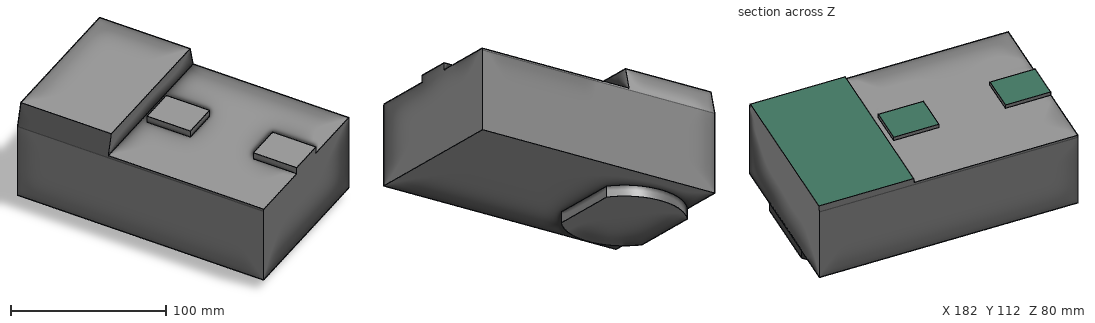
import cadquery as cq

length = 182.0
width = 112.0
total_height = 80.0
foot_height = 7.6
housing_height = total_height - foot_height
shoulder_height = 55.9
deck_height = 57.3

head_length = 67.0
head_top_width = 103.2

pad_length = 32.0
pad_width = 25.1
pad_top_height = 62.2
front_pad_start = 71.3
pad_starts = (front_pad_start, length - pad_length)

foot_diameter = 81.4
foot_flat_width = 63.2
foot_center_x = 32.2


def make_housing():
    """Extrude the tapered section, then cut the rear down to the deck."""
    half_width = width / 2
    half_top = head_top_width / 2
    section = [
        (-half_width, 0),
        (half_width, 0),
        (half_width, shoulder_height),
        (half_top, housing_height),
        (-half_top, housing_height),
        (-half_width, shoulder_height),
    ]
    body = cq.Workplane("YZ").polyline(section).close().extrude(length)
    rear_cut = cq.Workplane("XY", origin=(head_length, 0, deck_height)).box(
        length - head_length, width, housing_height - deck_height, centered=(False, True, False)
    )
    return body.cut(rear_cut)


def make_pad(start_x):
    """Pad standing on the deck, starting at the given X."""
    return cq.Workplane("XY", origin=(start_x, 0, deck_height)).box(
        pad_length, pad_width, pad_top_height - deck_height, centered=(False, True, False)
    )


def make_foot():
    """Disc below the housing, flattened on its -X and +X sides."""
    base = cq.Workplane("XY", origin=(foot_center_x, 0, -foot_height))
    disc = base.circle(foot_diameter / 2).extrude(foot_height)
    flats = base.rect(foot_flat_width, foot_diameter).extrude(foot_height)
    return disc.intersect(flats)


result = make_housing().union(make_foot())
for pad_start in pad_starts:
    result = result.union(make_pad(pad_start))